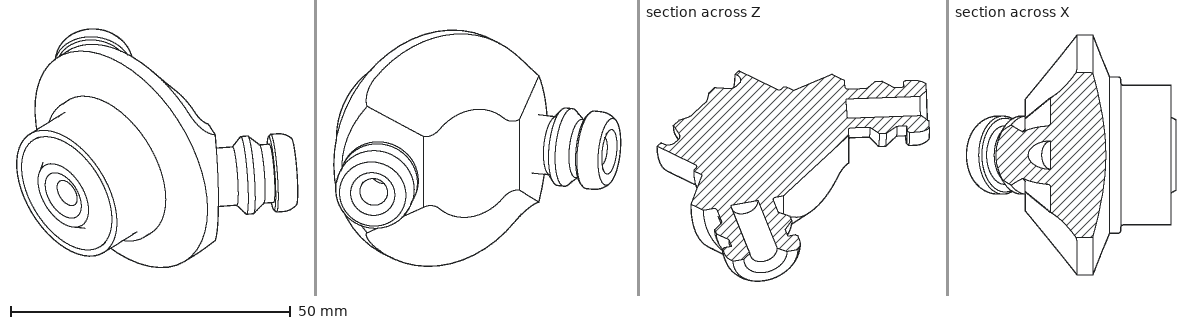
import cadquery as cq
import math


barrel_radius = 25 / 2
recess_radius = 22.5 / 2
recess_depth = 2.0
recess_fillet = 1.5
boss_tip_y = -0.9
boss_tip_radius = 6.3
boss_half_angle = math.radians(30)
boss_root_fillet = 1.5
dimple_mouth_radius = 4.5
dimple_floor_radius = 5 / 2
dimple_depth = 1.0

collar_radius = 28 / 2
collar_front_y = 9.0
collar_back_y = 11.0
collar_fillet = 0.5
flange_radius = 43 / 2
flange_front_y = 14.0
flange_back_y = 16.8

back_y = 26.1
back_radius = 10.0
cone_apex_y = back_y + back_radius * (back_y - flange_back_y) / (flange_radius - back_radius)
pad_half_width = 14.2
pad_root_angle = math.radians(47)
pad_flank_sag = 0.85

nozzle_tilt = math.atan2(back_y - flange_back_y, flange_radius - back_radius)
nozzle_foot_inset = 0.2
nozzle_foot_x = -(flange_radius + back_radius) / 2 + nozzle_foot_inset * math.cos(nozzle_tilt)
nozzle_foot_y = (flange_back_y + back_y) / 2 + nozzle_foot_inset * math.sin(nozzle_tilt)
nozzle_length = 14.5
nozzle_embed = 1.0
neck_radius = 10.5 / 2
neck_fillet = 0.5
neck_end = 3.85
barb_radius = 14 / 2
ridge_start = 5.45
ridge_end = 6.7
groove_start = 8.7
head_start = 10.45
head_chamfer = 0.4
head_curve_start = 12.1
head_tip_radius = 6.0
bore_radius = 5 / 2
bore_mouth_radius = 8 / 2
bore_mouth_depth = 1.3

DIAGONAL = math.sqrt(0.5)


def make_front_body():
    """Barrel, boss, collar and flange bevel, revolved about the Y axis."""
    root_centre_y = recess_depth - boss_root_fillet
    root_y = root_centre_y + boss_root_fillet * math.sin(boss_half_angle)
    root_radius = boss_tip_radius + (root_y - boss_tip_y) * math.tan(boss_half_angle)
    root_centre_radius = root_radius + boss_root_fillet * math.cos(boss_half_angle)
    root_mid_angle = (boss_half_angle + math.pi / 2) / 2
    root_mid = (
        root_centre_radius - boss_root_fillet * math.cos(root_mid_angle),
        root_centre_y + boss_root_fillet * math.sin(root_mid_angle),
    )

    recess_centre_radius = recess_radius - recess_fillet
    recess_centre_y = recess_depth - recess_fillet
    recess_mid = (
        recess_centre_radius + recess_fillet * DIAGONAL,
        recess_centre_y + recess_fillet * DIAGONAL,
    )

    groove_centre = (barrel_radius + collar_fillet, collar_front_y - collar_fillet)
    groove_mid = (
        groove_centre[0] - collar_fillet * DIAGONAL,
        groove_centre[1] + collar_fillet * DIAGONAL,
    )
    edge_centre = (collar_radius - collar_fillet, collar_front_y + collar_fillet)
    edge_mid = (
        edge_centre[0] + collar_fillet * DIAGONAL,
        edge_centre[1] - collar_fillet * DIAGONAL,
    )

    return (
        cq.Workplane("XY")
        .moveTo(0, boss_tip_y + dimple_depth)
        .lineTo(dimple_floor_radius, boss_tip_y + dimple_depth)
        .lineTo(dimple_mouth_radius, boss_tip_y)
        .lineTo(boss_tip_radius, boss_tip_y)
        .lineTo(root_radius, root_y)
        .threePointArc(root_mid, (root_centre_radius, recess_depth))
        .lineTo(recess_centre_radius, recess_depth)
        .threePointArc(recess_mid, (recess_radius, recess_centre_y))
        .lineTo(recess_radius, 0)
        .lineTo(barrel_radius, 0)
        .lineTo(barrel_radius, groove_centre[1])
        .threePointArc(groove_mid, (groove_centre[0], collar_front_y))
        .lineTo(edge_centre[0], collar_front_y)
        .threePointArc(edge_mid, (collar_radius, edge_centre[1]))
        .lineTo(collar_radius, collar_back_y)
        .lineTo(flange_radius, flange_front_y)
        .lineTo(0, flange_front_y)
        .close()
        .revolve(360, (0, 0, 0), (0, 1, 0))
    )


def cone_section(y):
    """Outline of the padded cone at height y, shrinking toward the cone apex."""
    scale = (cone_apex_y - y) / (cone_apex_y - flange_back_y)
    radius = flange_radius * scale
    half_width = pad_half_width * scale
    sag = pad_flank_sag * scale
    root_x = radius * math.cos(pad_root_angle)
    root_z = radius * math.sin(pad_root_angle)
    plane = cq.Plane(origin=(0, y, 0), xDir=(1, 0, 0), normal=(0, -1, 0))
    return (
        cq.Workplane(plane)
        .moveTo(radius, -half_width)
        .lineTo(radius, half_width)
        .sagittaArc((root_x, root_z), sag)
        .threePointArc((0, radius), (-root_x, root_z))
        .sagittaArc((-radius, half_width), sag)
        .lineTo(-radius, -half_width)
        .sagittaArc((-root_x, -root_z), sag)
        .threePointArc((0, -radius), (root_x, -root_z))
        .sagittaArc((radius, -half_width), sag)
        .close()
        .val()
    )


def make_padded_cone():
    """Flange rim and rear cone with its two side pads, trimmed to the flange diameter."""
    padded = cq.Solid.makeLoft([cone_section(flange_front_y), cone_section(back_y)], True)
    envelope = cq.Solid.makeCylinder(
        flange_radius, back_y - flange_front_y, cq.Vector(0, flange_front_y, 0), cq.Vector(0, 1, 0)
    )
    return cq.Workplane(padded).intersect(cq.Workplane(envelope))


def nozzle_plane():
    """Plane through the left nozzle: local x is radial, local y runs along the nozzle axis."""
    return cq.Plane(
        origin=(nozzle_foot_x, nozzle_foot_y, 0),
        xDir=(math.cos(nozzle_tilt), math.sin(nozzle_tilt), 0),
        normal=(0, 0, 1),
    )


def make_nozzle():
    """Left nozzle without its bore: neck, ridge, groove and rounded head."""
    foot_radius = neck_radius + neck_fillet
    foot_mid = (foot_radius - neck_fillet * DIAGONAL, neck_fillet * (1 - DIAGONAL))
    return (
        cq.Workplane(nozzle_plane())
        .moveTo(0, -nozzle_embed)
        .lineTo(foot_radius, -nozzle_embed)
        .lineTo(foot_radius, 0)
        .threePointArc(foot_mid, (neck_radius, neck_fillet))
        .lineTo(neck_radius, neck_end)
        .lineTo(barb_radius, ridge_start)
        .lineTo(barb_radius, ridge_end)
        .lineTo(neck_radius, groove_start)
        .lineTo(neck_radius, head_start)
        .lineTo(barb_radius - head_chamfer, head_start)
        .lineTo(barb_radius, head_start + head_chamfer)
        .lineTo(barb_radius, head_curve_start)
        .tangentArcPoint((head_tip_radius, nozzle_length), relative=False)
        .lineTo(0, nozzle_length)
        .close()
        .revolve(360, (0, 0, 0), (0, 1, 0))
    )


def make_bore():
    """Left nozzle bore with its countersunk mouth, ending at the pad."""
    return (
        cq.Workplane(nozzle_plane())
        .lineTo(bore_radius, 0)
        .lineTo(bore_radius, nozzle_length - bore_mouth_depth)
        .lineTo(bore_mouth_radius, nozzle_length)
        .lineTo(0, nozzle_length)
        .close()
        .revolve(360, (0, 0, 0), (0, 1, 0))
    )


nozzle = make_nozzle().cut(make_bore())
result = make_front_body().union(make_padded_cone())
result = result.union(nozzle).union(nozzle.mirror("YZ"))